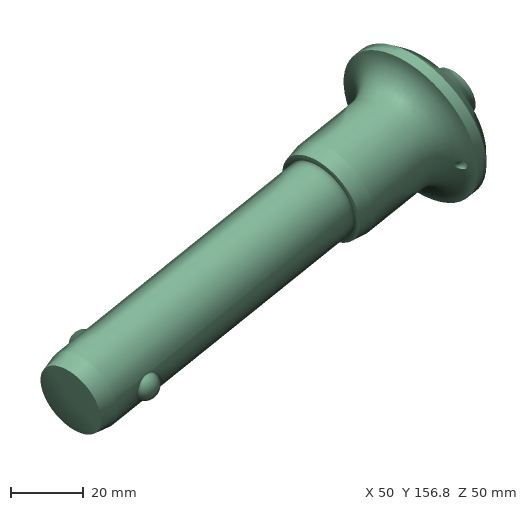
import cadquery as cq
import math


shank_radius = 12.5
shank_length = 102.0
tip_length = 5.3
tip_radius = 11.3

ball_radius = 4.5
ball_from_tip = 17.8
ball_reach = 15.5

handle_radius = 15.3
nose_mid_radius = 14.8
nose_end_radius = 14.4
nose_mid_length = 2.2
nose_length = 5.0
flare_radius = 9.7
head_radius = handle_radius + flare_radius
rim_width = 3.4
head_chamfer_length = 3.6
head_chamfer_depth = 3.4
head_top = 43.6
rim_top = head_top - head_chamfer_length
rim_bottom = rim_top - rim_width
flare_start = rim_bottom - flare_radius

button_radius = 7.75
overall_length = 156.8
button_top = overall_length - shank_length
button_round = 0.5

lanyard_hole_diameter = 3.0
lanyard_hole_offset = 20.0


def make_body():
    """Half outline of the shank, handle and button, revolved about Y."""
    flare_mid_offset = flare_radius * (1 - math.sqrt(0.5))
    flare_mid = (handle_radius + flare_mid_offset, rim_bottom - flare_mid_offset)
    outline = (
        cq.Workplane("XY")
        .moveTo(0, -shank_length)
        .lineTo(tip_radius, -shank_length)
        .lineTo(shank_radius, tip_length - shank_length)
        .lineTo(shank_radius, 0)
        .lineTo(nose_end_radius, 0)
        .lineTo(nose_mid_radius, nose_mid_length)
        .lineTo(handle_radius, nose_length)
        .lineTo(handle_radius, flare_start)
        .threePointArc(flare_mid, (head_radius, rim_bottom))
        .lineTo(head_radius, rim_top)
        .lineTo(head_radius - head_chamfer_depth, head_top)
        .lineTo(button_radius, head_top)
        .lineTo(button_radius, button_top - button_round)
        .radiusArc((button_radius - button_round, button_top), -button_round)
        .lineTo(0, button_top)
        .close()
    )
    return outline.revolve(360, (0, 0, 0), (0, 1, 0))


def make_ball(side):
    """One locking ball, partly sunk in the shank on the given X side."""
    center = (side * (ball_reach - ball_radius), ball_from_tip - shank_length, 0)
    return cq.Workplane("XY").sphere(ball_radius).translate(center)


def make_lanyard_hole():
    """Cutter that passes through the head, parallel to the pin axis."""
    drill = cq.Solid.makeCylinder(
        lanyard_hole_diameter / 2,
        head_top,
        cq.Vector(lanyard_hole_offset, 0, 0),
        cq.Vector(0, 1, 0),
    )
    return cq.Workplane("XY").add(drill)


result = make_body()
for side in (-1, 1):
    result = result.union(make_ball(side))
result = result.cut(make_lanyard_hole())